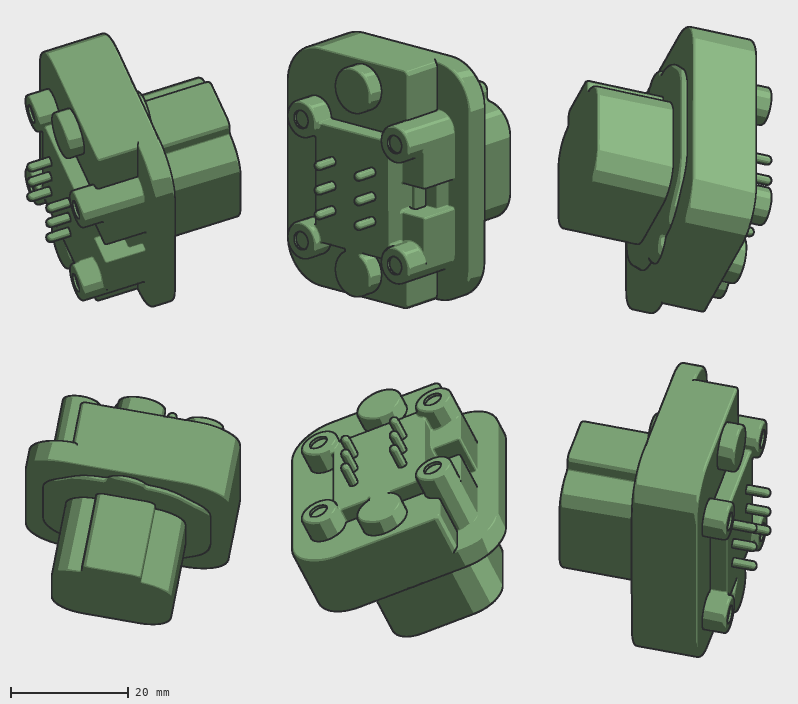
import cadquery as cq
import math


WIDTH = 35.25
HEIGHT = 42.8
CORNER_RADIUS = 7.6
FLANGE_DEPTH = 4.05
BODY_DEPTH = 11.55
BODY_RIGHT = 10.1
BODY_SIDE_ROUND = 1.0
EDGE_ROUND = 0.5
FOOT_ROUND = 0.25

CONTACT_Z = -1.55

ROUND_PAD_RADIUS = 4.1
ROUND_PAD_Z = 16.4
PAD_DEPTH = 14.5

PAD_HALF_WIDTH = 8.6
PAD_HALF_HEIGHT = 10.8
NECK_ROUND = 0.25

BOSS_RADIUS = 3.3
BOSS_X = 10.67
BOSS_DZ = 10.85
BOSS_DEPTH = 15.6
BOSS_BORE_RADIUS = 1.6
BOSS_BORE_DEPTH = 0.5
JOINT_ROUND = 0.4

NOTCH_HALF_HEIGHT = 2.5
BLOCK_RIGHT = BOSS_X + BOSS_RADIUS
BLOCK_ROUND = 0.4
LEDGE_RIGHT = 9.75
LEDGE_DEPTH = 9.1
SHELF_RIGHT = 12.55
SHELF_DEPTH = 6.6

PIN_RADIUS = 0.8
PIN_X = 4.55
PIN_PITCH = 4.4
PIN_DEPTH = 18.67

RIM_HEIGHT = 1.05
RIM_HALF_WIDTH = 14.54
RIM_HALF_HEIGHT = 17.5
RIM_CHAMFER = 7.42
RIM_CORNER_RADIUS = 7.4
RIM_LOBE_RADIUS = 3.6
RIM_LOBE_BLEND = 0.93
RIM_ROUND = 0.95

PLUG_HEIGHT = 14.75
PLUG_HALF_WIDTH = 10.4
PLUG_TOP = 9.0
PLUG_BOTTOM = -11.97
PLUG_CORNER_RADIUS = 5.5
KEY_HALF_WIDTH = 5.15
KEY_TOP = 12.05
KEY_CORNER_RADIUS = 1.5
KEY_BLEND = 0.45

OVERLAP = 1.0
TOLERANCE = 1e-3


def face_at(depth):
    """Sketch plane at a depth below the flange back, facing the mounting side (-Y)."""
    return cq.Workplane("XZ", origin=(0, -depth, 0))


def block(x_min, x_max, z_min, z_max, depth_min, depth_max):
    """Box between X, Z and depth limits."""
    return (
        face_at(depth_min)
        .center((x_min + x_max) / 2, (z_min + z_max) / 2)
        .rect(x_max - x_min, z_max - z_min)
        .extrude(depth_max - depth_min)
    )


def disc(x, z, radius, depth_min, depth_max):
    """Cylinder along Y, with its seam on the upper side."""
    return (
        face_at(depth_min)
        .center(x, z)
        .transformed(rotate=(0, 0, 90))
        .circle(radius)
        .extrude(depth_max - depth_min)
    )


def lies_at(box, depth):
    """True if a bounding box is flat at one depth."""
    return near(box.ymin, -depth) and near(box.ymax, -depth)


def near(value, target):
    return abs(value - target) < TOLERANCE


def round_edges(body, radius, wanted):
    """Fillet every edge for which wanted(edge, bounding_box) is true."""
    edges = [e for e in body.val().Edges() if wanted(e, e.BoundingBox())]
    return body.newObject(edges).fillet(radius)


def make_housing():
    """Rounded flange plus the deeper body, which ends in a flat wall on the right."""
    flange = block(-WIDTH / 2, WIDTH / 2, -HEIGHT / 2, HEIGHT / 2, 0, FLANGE_DEPTH)
    flange = flange.edges("|Y").fillet(CORNER_RADIUS)
    flange = flange.faces("|Y").edges().fillet(EDGE_ROUND)
    body = block(-WIDTH / 2, BODY_RIGHT, -HEIGHT / 2, HEIGHT / 2, FLANGE_DEPTH / 2, BODY_DEPTH)
    body = body.edges("|Y and <X").fillet(CORNER_RADIUS)
    body = body.edges("|Y and >X").fillet(BODY_SIDE_ROUND)
    body = body.faces("<Y").edges().fillet(EDGE_ROUND)
    return flange.union(body)


def make_contact_pad():
    """Rectangle whose lower edge runs through small concave arcs into the lower round pad."""
    top = CONTACT_Z + PAD_HALF_HEIGHT
    bottom = CONTACT_Z - PAD_HALF_HEIGHT
    arc_z = bottom - NECK_ROUND
    reach = ROUND_PAD_RADIUS + NECK_ROUND
    arc_x = math.sqrt(reach**2 - (arc_z + ROUND_PAD_Z) ** 2)
    touch_x = arc_x * ROUND_PAD_RADIUS / reach
    touch_z = -ROUND_PAD_Z + (arc_z + ROUND_PAD_Z) * ROUND_PAD_RADIUS / reach
    toward_pad = math.atan2(-ROUND_PAD_Z - arc_z, -arc_x)
    middle = (math.pi / 2 + toward_pad + 2 * math.pi) / 2
    mid_x = arc_x + NECK_ROUND * math.cos(middle)
    mid_z = arc_z + NECK_ROUND * math.sin(middle)
    return (
        face_at(BODY_DEPTH - OVERLAP)
        .moveTo(-PAD_HALF_WIDTH, top)
        .lineTo(PAD_HALF_WIDTH, top)
        .lineTo(PAD_HALF_WIDTH, bottom)
        .lineTo(arc_x, bottom)
        .threePointArc((mid_x, mid_z), (touch_x, touch_z))
        .threePointArc((0, -ROUND_PAD_Z - ROUND_PAD_RADIUS), (-touch_x, touch_z))
        .threePointArc((-mid_x, mid_z), (-arc_x, bottom))
        .lineTo(-PAD_HALF_WIDTH, bottom)
        .close()
        .extrude(PAD_DEPTH - BODY_DEPTH + OVERLAP)
    )


def make_round_pad():
    pad = disc(0, ROUND_PAD_Z, ROUND_PAD_RADIUS, BODY_DEPTH - OVERLAP, PAD_DEPTH)
    return pad.faces("<Y").edges().fillet(EDGE_ROUND)


def boss_places():
    return [(sx * BOSS_X, CONTACT_Z + sz * BOSS_DZ) for sx in (-1, 1) for sz in (-1, 1)]


def make_side_block(side):
    """Block level with the body face, from the notch to the middle of a right-hand boss."""
    inner = CONTACT_Z + side * NOTCH_HALF_HEIGHT
    outer = CONTACT_Z + side * BOSS_DZ
    piece = block(
        PAD_HALF_WIDTH, BLOCK_RIGHT, min(inner, outer), max(inner, outer),
        FLANGE_DEPTH - OVERLAP, BODY_DEPTH,
    )
    notch_side = "<Z" if side > 0 else ">Z"
    piece = piece.edges("|Y and >X").edges(notch_side).fillet(BLOCK_ROUND)
    return piece.faces("<Y").edges(notch_side + " or >X").fillet(BLOCK_ROUND)


def add_latch_bay(body):
    """Right side between the bosses: two blocks and, in the notch between them, two steps."""
    z_min = CONTACT_Z - BOSS_DZ
    z_max = CONTACT_Z + BOSS_DZ
    body = body.cut(block(PAD_HALF_WIDTH, WIDTH / 2, z_min, z_max, FLANGE_DEPTH, PAD_DEPTH))
    for right, depth in ((LEDGE_RIGHT, LEDGE_DEPTH), (SHELF_RIGHT, SHELF_DEPTH)):
        step = block(PAD_HALF_WIDTH, right, z_min, z_max, FLANGE_DEPTH - OVERLAP, depth)
        body = body.union(step.edges("|Z and <Y and >X").fillet(BLOCK_ROUND))
    for side in (-1, 1):
        body = body.union(make_side_block(side))
    return body


def make_plug():
    plane = cq.Workplane("XZ", origin=(0, PLUG_HEIGHT, 0))
    length = PLUG_HEIGHT + OVERLAP
    shroud = (
        plane.center(0, (PLUG_TOP + PLUG_BOTTOM) / 2)
        .rect(2 * PLUG_HALF_WIDTH, PLUG_TOP - PLUG_BOTTOM)
        .extrude(length)
        .edges("|Y")
        .fillet(PLUG_CORNER_RADIUS)
    )
    key = (
        plane.center(0, KEY_TOP / 2)
        .rect(2 * KEY_HALF_WIDTH, KEY_TOP)
        .extrude(length)
        .edges("|Y and >Z")
        .fillet(KEY_CORNER_RADIUS)
    )
    plug = shroud.union(key)

    def key_foot(edge, box):
        full_length = box.ylen > length / 2
        return full_length and near(abs(box.xmin), KEY_HALF_WIDTH) and box.zmin < PLUG_TOP

    plug = round_edges(plug, KEY_BLEND, key_foot)
    return plug.faces(">Y").edges().fillet(EDGE_ROUND)


def make_rim():
    plane = cq.Workplane("XZ", origin=(0, RIM_HEIGHT, 0))
    length = RIM_HEIGHT + OVERLAP
    rim = (
        plane.rect(2 * RIM_HALF_WIDTH, 2 * RIM_HALF_HEIGHT)
        .extrude(length)
        .edges("|Y")
        .chamfer(RIM_CHAMFER)
        .edges("|Y")
        .fillet(RIM_CORNER_RADIUS)
    )
    for side in (-1, 1):
        rim = rim.union(plane.center(0, side * ROUND_PAD_Z).circle(RIM_LOBE_RADIUS).extrude(length))

    def lobe_foot(edge, box):
        full_length = box.ylen > length / 2
        beside_lobe = RIM_LOBE_RADIUS / 2 < abs(box.xmin) < RIM_LOBE_RADIUS
        return full_length and beside_lobe and near(abs(box.zmin), RIM_HALF_HEIGHT)

    rim = round_edges(rim, RIM_LOBE_BLEND, lobe_foot)
    return rim.faces(">Y").edges().fillet(RIM_ROUND)


def make_pin(x, z):
    pin = disc(x, z, PIN_RADIUS, PAD_DEPTH - OVERLAP, PIN_DEPTH - PIN_RADIUS)
    tip = cq.Workplane("XY").sphere(PIN_RADIUS).translate((x, PIN_RADIUS - PIN_DEPTH, z))
    return pin.union(tip)


def make_boss(x, z):
    foot = FLANGE_DEPTH if x > 0 else BODY_DEPTH
    boss = disc(x, z, BOSS_RADIUS, foot - OVERLAP, BOSS_DEPTH)
    boss = boss.faces("<Y").edges().fillet(EDGE_ROUND)
    return boss.cut(disc(x, z, BOSS_BORE_RADIUS, BOSS_DEPTH - BOSS_BORE_DEPTH, BOSS_DEPTH))


def is_boss_arc(edge):
    return edge.geomType() == "CIRCLE" and near(edge.radius(), BOSS_RADIUS)


def round_front(body):
    """Rounds that run across the pad, bosses and blocks; each one needs those before it."""

    def pad_rim(edge, box):
        return lies_at(box, PAD_DEPTH) and not is_boss_arc(edge)

    def boss_joint(edge, box):
        return lies_at(box, PAD_DEPTH) and is_boss_arc(edge)

    def pad_foot(edge, box):
        on_wall = near(box.xmin, PAD_HALF_WIDTH) and near(box.xmax, PAD_HALF_WIDTH)
        on_block = lies_at(box, BODY_DEPTH) and box.zlen > BOSS_RADIUS
        return on_wall and (on_block or lies_at(box, LEDGE_DEPTH))

    def shelf_foot(edge, box):
        return lies_at(box, SHELF_DEPTH) and box.xlen > FOOT_ROUND

    def flange_foot(edge, box):
        beyond_body = box.xmax > BODY_RIGHT + FOOT_ROUND
        return lies_at(box, FLANGE_DEPTH) and beyond_body and box.xmax < BLOCK_RIGHT + FOOT_ROUND

    body = round_edges(body, EDGE_ROUND, pad_rim)
    body = round_edges(body, JOINT_ROUND, boss_joint)
    body = round_edges(body, JOINT_ROUND, pad_foot)
    body = round_edges(body, FOOT_ROUND, shelf_foot)
    return round_edges(body, FOOT_ROUND, flange_foot)


result = make_housing().union(make_contact_pad())
result = add_latch_bay(result)
for x, z in boss_places():
    result = result.union(make_boss(x, z))
result = round_front(result)
result = result.union(make_round_pad()).union(make_rim()).union(make_plug())
for sx in (-1, 1):
    for row in (-1, 0, 1):
        result = result.union(make_pin(sx * PIN_X, CONTACT_Z + row * PIN_PITCH))